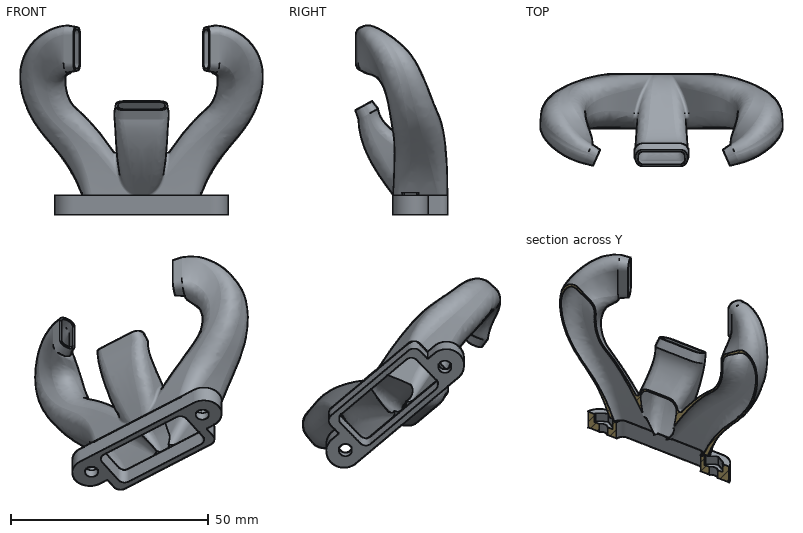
import cadquery as cq
import math

loft = cq.occ_impl.shapes.loft

PLATE_LENGTH = 44.0
PLATE_DEPTH = 14.0
PLATE_HEIGHT = 5.0
EAR_RADIUS = 4.5
BLOCK_LENGTH = 30.45
BLOCK_CORNER = 2.05
MID_Y = PLATE_DEPTH / 2

SEAT_SPACING = 34.0
BOLT_DIAMETER = 3.3
NUT_ACROSS_FLATS = 5.5
NUT_DEPTH = 2.45
NUT_RELIEF = 0.55

WALL = 0.6
BASE_WALL = 1.5
INLET_LENGTH = 25.9
INLET_CORNER = 1.85

LIP_LENGTH = 2.45
LIP_TAPER = 0.45
BLEND_RADIUS = 0.6
TOUCH = 0.0005

ARM_STATIONS = [
    ((-7.65, 7.0, PLATE_HEIGHT), (0, 0, 1), 14.8, 13.8, 2.45),
    ((-17.85, 6.45, 20.6), (-0.65, -0.18, 0.75), 11.1, 12.45, 4.3),
    ((-23.35, 4.6, 27.5), (-0.25, -0.35, 0.9), 10.7, 11.2, 4.3),
    ((-25.0, 2.05, 35.0), (0.2, -0.52, 0.83), 11.6, 10.0, 4.0),
    ((-22.8, -2.35, 40.05), (0.62, -0.57, 0.52), 11.8, 7.5, 3.1),
    ((-18.65, -6.3, 42.0), (0.91, -0.41, 0), 11.95, 5.35, 2.35),
]
CENTRE_STATIONS = [
    ((0, 7.0, PLATE_HEIGHT), (0, 0, 1), 13.8, 6.8, 1.85),
    ((0, 2.65, 12.2), (0, -0.35, 0.93), 12.95, 11.4, 3.1),
    ((0, -3.1, 18.6), (0, -0.47, 0.88), 8.9, 12.95, 3.1),
    ((0, -6.15, 25.5), (0, -0.48, 0.88), 5.7, 13.9, 2.35),
]
ARM_SIDE = (0, 1, 0)
CENTRE_SIDE = (1, 0, 0)


def section(plane, span, thickness, corner):
    """Rounded rectangle in a plane: thickness along its X, span along its Y."""
    x = thickness / 2
    y = span / 2
    cut = corner * (1 - math.sqrt(0.5))
    outline = (
        cq.Workplane(plane)
        .moveTo(x, corner - y)
        .lineTo(x, y - corner)
        .threePointArc((x - cut, y - cut), (x - corner, y))
        .lineTo(corner - x, y)
        .threePointArc((cut - x, y - cut), (-x, y - corner))
        .lineTo(-x, corner - y)
        .threePointArc((cut - x, cut - y), (corner - x, -y))
        .lineTo(x - corner, -y)
        .threePointArc((x - cut, cut - y), (x, corner - y))
    )
    return outline.wire().val()


def duct(stations, side, inset=0.0, base_inset=0.0):
    """Smooth loft through the stations, closed by a straight narrowing lip."""
    wires = []
    for index, (centre, flow, span, thickness, corner) in enumerate(stations):
        plane = cq.Plane(centre, side, flow)
        shrink = inset if index else base_inset
        wires.append(section(plane, span - 2 * shrink, thickness - 2 * shrink, corner - inset))
    body = cq.Workplane(loft(*wires, cap=True, compat=False))

    tip = plane.toWorldCoords((0, 0, LIP_LENGTH))
    shrink = inset + LIP_TAPER
    tip_wire = section(
        cq.Plane(tip, side, flow), span - 2 * shrink, thickness - 2 * shrink, corner - shrink
    )
    lip = cq.Workplane(loft(wires[-1], tip_wire, cap=True, ruled=True, compat=False))
    return body.union(lip)


def all_ducts(inset=0.0, base_inset=0.0):
    """The left arm, its mirror image on the right, and the centre duct."""
    arm = duct(ARM_STATIONS, ARM_SIDE, inset, base_inset)
    centre = duct(CENTRE_STATIONS, CENTRE_SIDE, inset, base_inset)
    return arm, arm.mirror("YZ"), centre


def plate():
    bar = (
        cq.Workplane()
        .center(0, EAR_RADIUS)
        .slot2D(PLATE_LENGTH, 2 * EAR_RADIUS)
        .extrude(PLATE_HEIGHT)
    )
    block = (
        cq.Workplane()
        .center(0, (EAR_RADIUS + PLATE_DEPTH) / 2)
        .rect(BLOCK_LENGTH, PLATE_DEPTH - EAR_RADIUS)
        .extrude(PLATE_HEIGHT)
        .edges("|Z and >Y")
        .fillet(BLOCK_CORNER)
    )
    return bar.union(block)


def meets(edge, shell):
    """True when the middle of the edge lies on the surface of the given body."""
    middle = cq.Vertex.makeVertex(*edge.positionAt(0.5).toTuple())
    return min(face.distance(middle) for face in shell.Faces()) < TOUCH


def blend_ducts(body, left, right, centre):
    """Round the creases where the arms run into the centre duct above the plate."""
    creases = [
        edge
        for edge in body.edges().vals()
        if edge.BoundingBox().zmax > PLATE_HEIGHT + TOUCH
        and meets(edge, centre.val())
        and (meets(edge, left.val()) or meets(edge, right.val()))
    ]
    return body.newObject(creases).fillet(BLEND_RADIUS)


def inlet():
    return (
        cq.Workplane()
        .center(0, MID_Y)
        .rect(INLET_LENGTH, PLATE_DEPTH - 2 * BASE_WALL)
        .extrude(PLATE_HEIGHT)
        .edges("|Z")
        .fillet(INLET_CORNER)
    )


def fastener_seats():
    across_corners = NUT_ACROSS_FLATS / math.cos(math.pi / 6)
    bolt = cq.Workplane().circle(BOLT_DIAMETER / 2).extrude(PLATE_HEIGHT)
    nut = (
        cq.Workplane()
        .polygon(6, across_corners)
        .extrude(NUT_DEPTH + NUT_RELIEF)
        .rotate((0, 0, 0), (0, 0, 1), 90)
        .translate((0, 0, PLATE_HEIGHT - NUT_DEPTH))
    )
    seat = bolt.union(nut).translate((SEAT_SPACING / 2, EAR_RADIUS, 0))
    return seat.union(seat.mirror("YZ"))


left_arm, right_arm, centre_duct = all_ducts()
solid = left_arm.union(right_arm).union(centre_duct).union(plate())
solid = blend_ducts(solid, left_arm, right_arm, centre_duct)
for passage in all_ducts(WALL, BASE_WALL):
    solid = solid.cut(passage)
result = solid.cut(inlet()).cut(fastener_seats()).solids()